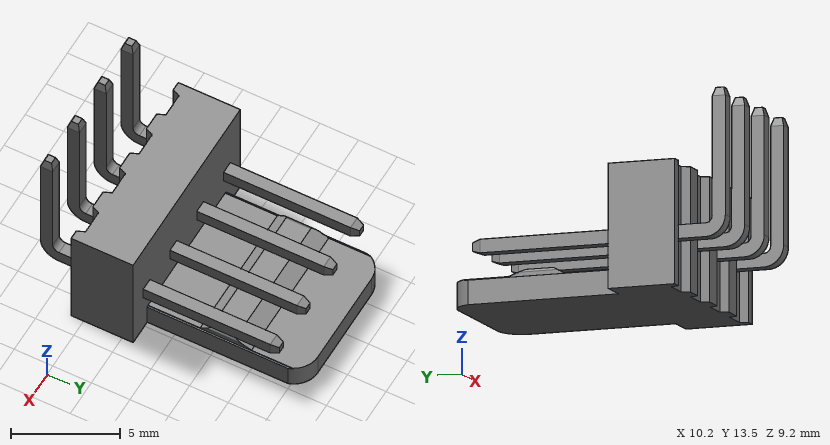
import cadquery as cq
import math

PIN_COUNT = 4
BODY_WIDTH = 10.15
BODY_DEPTH = 3.22
BODY_HEIGHT = 5.81
BODY_BACK_Y = 2.11
PITCH = BODY_WIDTH / PIN_COUNT
BODY_FRONT_Y = BODY_BACK_Y + BODY_DEPTH

GROOVE_DEPTH = 0.39
GROOVE_MOUTH_WIDTH = 1.57
GROOVE_FLOOR_WIDTH = 1.25

TONGUE_END_Y = 13.52
TONGUE_WIDTH = 7.49
TONGUE_THICKNESS = 1.19
TONGUE_CORNER_RADIUS = 1.25
TONGUE_CORNER_LENGTH = 0.89
STEP_WIDTH = 0.08
STEP_OUTER_Z = 1.14
STEP_INNER_Z = 1.15
TONGUE_TOP_WIDTH = TONGUE_WIDTH - 2 * STEP_WIDTH

LATCH_HEIGHT = 0.3
LATCH_FOOT_BACK_Y = 8.03
LATCH_TOP_BACK_Y = 8.55
LATCH_TOP_FRONT_Y = 9.83
LATCH_FOOT_FRONT_Y = 10.7
LATCH_EDGE_RADIUS = 0.14

PIN_SIZE = 0.64
PIN_BOTTOM_Z = 2.28
PIN_TIP_Y = 12.32
TAIL_TOP_Z = 9.2
BEND_INNER_RADIUS = 0.32
BEND_OUTER_RADIUS = BEND_INNER_RADIUS + PIN_SIZE
TIP_LENGTH = 0.4
TIP_SIZE = 0.38


def housing():
    block = cq.Workplane("XY").box(BODY_WIDTH, BODY_DEPTH, BODY_HEIGHT, centered=(True, False, False))
    block = block.translate((0, BODY_BACK_Y, 0))
    for x in pin_positions():
        block = block.cut(groove(x))
    return block


def groove(x):
    floor_y = BODY_BACK_Y + GROOVE_DEPTH
    outline = [
        (x - GROOVE_MOUTH_WIDTH / 2, BODY_BACK_Y),
        (x - GROOVE_FLOOR_WIDTH / 2, floor_y),
        (x + GROOVE_FLOOR_WIDTH / 2, floor_y),
        (x + GROOVE_MOUTH_WIDTH / 2, BODY_BACK_Y),
    ]
    return cq.Workplane("XY").polyline(outline).close().extrude(BODY_HEIGHT)


def tongue():
    half_width = TONGUE_WIDTH / 2
    half_top = TONGUE_TOP_WIDTH / 2
    section = [
        (-half_width, 0),
        (half_width, 0),
        (half_width, STEP_OUTER_Z),
        (half_top, STEP_INNER_Z),
        (half_top, TONGUE_THICKNESS),
        (-half_top, TONGUE_THICKNESS),
        (-half_top, STEP_INNER_Z),
        (-half_width, STEP_OUTER_Z),
    ]
    bar = (
        cq.Workplane("XZ", origin=(0, BODY_FRONT_Y, 0))
        .polyline(section)
        .close()
        .extrude(BODY_FRONT_Y - TONGUE_END_Y)
    )
    return bar.intersect(tongue_outline())


def tongue_outline():
    half_width = TONGUE_WIDTH / 2
    corner_y = TONGUE_END_Y - TONGUE_CORNER_LENGTH
    arc_rise = TONGUE_CORNER_RADIUS - TONGUE_CORNER_LENGTH
    corner_span = math.sqrt(TONGUE_CORNER_RADIUS**2 - arc_rise**2)
    half_end = half_width - corner_span
    return (
        cq.Workplane("XY")
        .moveTo(-half_width, BODY_FRONT_Y)
        .lineTo(-half_width, corner_y)
        .radiusArc((-half_end, TONGUE_END_Y), TONGUE_CORNER_RADIUS)
        .lineTo(half_end, TONGUE_END_Y)
        .radiusArc((half_width, corner_y), TONGUE_CORNER_RADIUS)
        .lineTo(half_width, BODY_FRONT_Y)
        .close()
        .extrude(TONGUE_THICKNESS)
    )


def latch():
    top_z = TONGUE_THICKNESS + LATCH_HEIGHT
    outline = [
        (LATCH_FOOT_BACK_Y, TONGUE_THICKNESS),
        (LATCH_TOP_BACK_Y, top_z),
        (LATCH_TOP_FRONT_Y, top_z),
        (LATCH_FOOT_FRONT_Y, TONGUE_THICKNESS),
    ]
    ramp = cq.Workplane("YZ").polyline(outline).close().extrude(TONGUE_TOP_WIDTH / 2, both=True)
    top_side_edges = ramp.faces(">Z").edges("|Y")
    return top_side_edges.fillet(LATCH_EDGE_RADIUS)


def pin(x):
    leg_end_y = PIN_TIP_Y - TIP_LENGTH
    tail_end_z = TAIL_TOP_Z - TIP_LENGTH
    pin_top_z = PIN_BOTTOM_Z + PIN_SIZE
    wire = (
        cq.Workplane("YZ")
        .moveTo(leg_end_y, PIN_BOTTOM_Z)
        .lineTo(BEND_OUTER_RADIUS, PIN_BOTTOM_Z)
        .radiusArc((0, PIN_BOTTOM_Z + BEND_OUTER_RADIUS), BEND_OUTER_RADIUS)
        .lineTo(0, tail_end_z)
        .lineTo(PIN_SIZE, tail_end_z)
        .lineTo(PIN_SIZE, pin_top_z + BEND_INNER_RADIUS)
        .radiusArc((PIN_SIZE + BEND_INNER_RADIUS, pin_top_z), -BEND_INNER_RADIUS)
        .lineTo(leg_end_y, pin_top_z)
        .close()
        .extrude(PIN_SIZE / 2, both=True)
    )
    leg_tip = tip(cq.Plane((0, leg_end_y, PIN_BOTTOM_Z + PIN_SIZE / 2), xDir=(1, 0, 0), normal=(0, 1, 0)))
    tail_tip = tip(cq.Plane((0, PIN_SIZE / 2, tail_end_z), xDir=(1, 0, 0), normal=(0, 0, 1)))
    return wire.union(leg_tip).union(tail_tip).translate((x, 0, 0))


def tip(base_plane):
    return (
        cq.Workplane(base_plane)
        .rect(PIN_SIZE, PIN_SIZE)
        .workplane(offset=TIP_LENGTH)
        .rect(TIP_SIZE, TIP_SIZE)
        .loft()
    )


def pin_positions():
    return [(i - (PIN_COUNT - 1) / 2) * PITCH for i in range(PIN_COUNT)]


result = housing().union(tongue()).union(latch())
for pin_x in pin_positions():
    result = result.union(pin(pin_x))